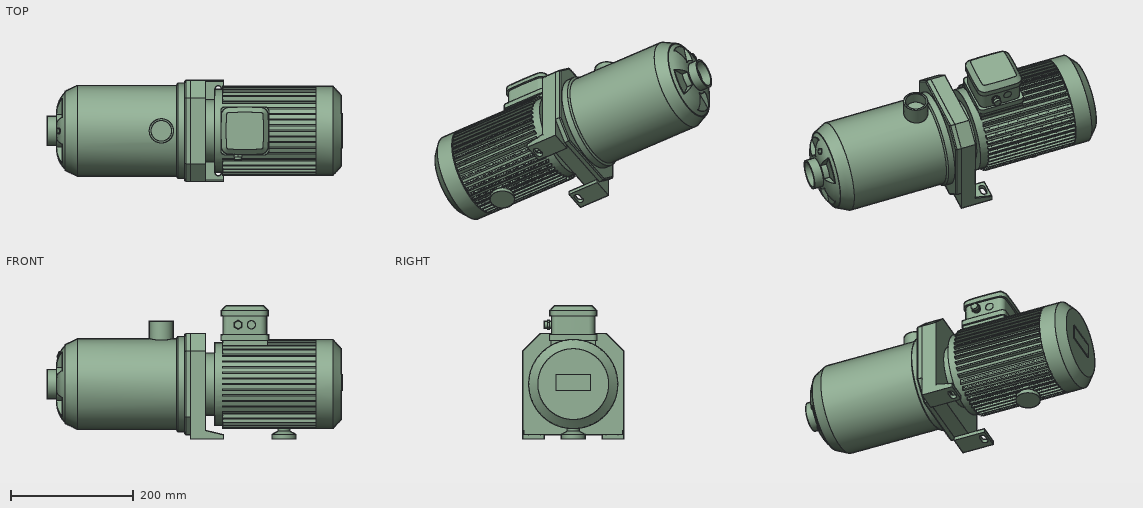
import cadquery as cq
import math


total_length = 482.7
hub_face_x = 15.2
pocket_floor_x = 25.2
sleeve_start_x = 49.6
sleeve_end_x = 211.4
collar_start_x = 213.8
cover_start_x = 224.8
bracket_start_x = 234.2
bracket_end_x = 259.0
foot_end_x = 288.4
flange_start_x = 273.9
fins_start_x = 286.9
fan_cover_start_x = 439.7
fan_cover_bevel_x = 467.4
fan_cover_end_x = 481.3

shaft_height = 90.0
total_height = 218.5
base_z = -shaft_height
top_z = base_z + total_height

sleeve_diameter = 149.0
collar_diameter = 156.5
dome_radius = 63.2
dome_rim_radius = 64.8
hub_radius = 29.0
dome_curve_radius = 48.5
pocket_outer_radius = 57.0
pocket_count = 4
pocket_angle = 45.0
suction_outer_diameter = 48.4
suction_bore_diameter = 42.4
discharge_outer_diameter = 39.7
discharge_bore_diameter = 33.7
discharge_x = 186.7
discharge_top_z = 102.8
discharge_bore_depth = 20.0

vent_diameter = 10.0
vent_radial_place = 48.5
vent_protrusion = 1.5
vent_depth = 6.0

flange_width = 166.0
flange_corner = 29.0
cover_chamfer = 2.0
foot_gap = 94.4
foot_thickness = 7.2
foot_slot_width = 10.0
foot_slot_length = 20.0
foot_slot_x = 279.8
foot_slot_outer_y = 73.5
gusset_thickness = 2.6
gusset_height = 14.4

neck_diameter = 102.2
drum_diameter = 136.0
fin_circle_diameter = 146.0
fin_pitch = 9.2
fin_thickness = 2.0
fins_per_half = 5
fan_cover_end_radius = 58.0
nameplate_width = 56.6
nameplate_height = 26.0
nameplate_z = 2.8

box_x = 323.2
pedestal_width = 73.0
pedestal_end_x = 360.2
rim_width = 78.5
rim_bottom_z = 71.0
rim_top_z = 80.7
rim_corner_radius = 6.5
box_width = 72.0
box_corner_radius = 10.0
lid_width = 77.5
lid_corner_radius = 12.0
lid_bottom_z = 111.5
lid_bevel_z = 120.3
side_bow = 1.3

knockout_diameter = 13.5
entry_z = 97.0
gland_x = 312.2
knockout_x = 334.0
knockout_depth = 0.5
gland_diameter = 12.0
gland_hex_across_flats = 13.0
gland_hex_turn = 30.0
gland_hex_start_y = -38.5
gland_hex_end_y = -42.5
gland_end_y = -47.6
gland_seat_y = -28.0

support_x = 387.3
support_disc_diameter = 40.0
support_stem_diameter = 20.0
support_disc_top_z = -82.5
support_cone_top_z = -77.0
support_seat_z = -65.0


def cylinder_x(diameter, start_x, end_x):
    """Cylinder on the shaft axis between two stations."""
    return cq.Workplane("YZ").workplane(offset=start_x).circle(diameter / 2).extrude(end_x - start_x)


def octagon(start_x, end_x):
    """Square flange with its four corners cut off."""
    profile = cq.Workplane("YZ").workplane(offset=start_x).rect(flange_width, flange_width)
    slab = profile.extrude(end_x - start_x)
    return slab.edges("|X").chamfer(flange_corner)


def block(start, end):
    """Axis-aligned block between two opposite corners."""
    size = [b - a for a, b in zip(start, end)]
    return cq.Workplane("XY").box(*size, centered=False).translate(start)


def dome_x(radius):
    """Station of the domed end at a distance from the shaft axis."""
    rise = radius - hub_radius
    return hub_face_x + dome_curve_radius - math.sqrt(dome_curve_radius**2 - rise**2)


def make_pocket(angle):
    """Sector-shaped pocket between the arms of the domed end."""
    half = math.radians(pocket_angle / 2)
    inner = (hub_radius * math.cos(half), hub_radius * math.sin(half))
    outer = (pocket_outer_radius * math.cos(half), pocket_outer_radius * math.sin(half))
    sector = (
        cq.Workplane("YZ")
        .moveTo(inner[0], -inner[1])
        .lineTo(outer[0], -outer[1])
        .threePointArc((pocket_outer_radius, 0), outer)
        .lineTo(*inner)
        .threePointArc((hub_radius, 0), (inner[0], -inner[1]))
        .close()
        .extrude(pocket_floor_x)
    )
    return sector.rotate((0, 0, 0), (1, 0, 0), angle)


def make_casing():
    mid_radius = (hub_radius + dome_radius) / 2
    body = (
        cq.Workplane("XY")
        .moveTo(hub_face_x, 0)
        .lineTo(hub_face_x, hub_radius)
        .threePointArc((dome_x(mid_radius), mid_radius), (dome_x(dome_radius), dome_radius))
        .lineTo(dome_x(dome_radius), dome_rim_radius)
        .lineTo(sleeve_start_x, sleeve_diameter / 2)
        .lineTo(sleeve_end_x, sleeve_diameter / 2)
        .lineTo(collar_start_x, collar_diameter / 2)
        .lineTo(cover_start_x, collar_diameter / 2)
        .lineTo(cover_start_x, 0)
        .close()
        .revolve(360, (0, 0, 0), (1, 0, 0))
    )
    for index in range(pocket_count):
        body = body.cut(make_pocket(pocket_angle + index * 360 / pocket_count))

    suction = cylinder_x(suction_outer_diameter, 0, hub_face_x)
    suction_bore = cylinder_x(suction_bore_diameter, 0, hub_face_x)
    discharge = (
        cq.Workplane("XY", origin=(discharge_x, 0, 0))
        .circle(discharge_outer_diameter / 2)
        .extrude(discharge_top_z)
    )
    discharge_bore = (
        cq.Workplane("XY", origin=(discharge_x, 0, discharge_top_z))
        .circle(discharge_bore_diameter / 2)
        .extrude(-discharge_bore_depth)
    )
    return body.union(suction.cut(suction_bore)).union(discharge.cut(discharge_bore))


def make_vent_plug():
    """Round plug standing square to the domed end on its upper arm."""
    lean = math.asin((vent_radial_place - hub_radius) / dome_curve_radius)
    outward = cq.Vector(-math.cos(lean), 0, math.sin(lean))
    seat = cq.Vector(dome_x(vent_radial_place), 0, vent_radial_place) - outward * vent_depth
    plane = cq.Plane(origin=seat, xDir=(0, 1, 0), normal=outward)
    return cq.Workplane(plane).circle(vent_diameter / 2).extrude(vent_depth + vent_protrusion)


def make_flange_cover():
    return octagon(cover_start_x, bracket_start_x).faces("<X").chamfer(cover_chamfer)


def make_foot(side):
    """Bracket foot on one side, with its bolt slot and outer gusset."""
    inner_y = foot_gap / 2
    outer_y = flange_width / 2
    toe_z = base_z + foot_thickness
    pad = block((bracket_start_x, inner_y, base_z), (foot_end_x, outer_y, toe_z))
    slot = (
        cq.Workplane("XY", origin=(foot_slot_x, foot_slot_outer_y - foot_slot_length / 2, base_z))
        .slot2D(foot_slot_length, foot_slot_width, 90)
        .extrude(foot_thickness)
    )
    gusset = (
        cq.Workplane("XZ", origin=(0, outer_y, 0))
        .moveTo(bracket_end_x, base_z)
        .lineTo(bracket_end_x, base_z + gusset_height)
        .lineTo(foot_end_x, toe_z)
        .lineTo(foot_end_x, base_z)
        .close()
        .extrude(gusset_thickness)
    )
    foot = pad.cut(slot).union(gusset)
    return foot if side > 0 else foot.mirror("XZ")


def make_bracket():
    plate = octagon(bracket_start_x, bracket_end_x)
    for side in (1, -1):
        inner_y, outer_y = sorted((side * foot_gap / 2, side * flange_width / 2))
        leg = block((bracket_start_x, inner_y, base_z), (bracket_end_x, outer_y, 0))
        plate = plate.union(leg).union(make_foot(side))
    return plate


def make_fins():
    """Parallel fins standing on the drum: horizontal on its two sides, vertical above and below."""
    length = fan_cover_start_x - fins_start_x
    root_z = drum_diameter / 2 * math.sin(math.pi / 4)
    fin_height = fin_circle_diameter / 2 - root_z
    envelope = cylinder_x(fin_circle_diameter, fins_start_x, fan_cover_start_x)
    fins = cq.Workplane("XY")
    for index in range(-fins_per_half, fins_per_half + 1):
        blade = (
            cq.Workplane("XY")
            .box(length, fin_thickness, fin_height, centered=(False, True, False))
            .translate((fins_start_x, index * fin_pitch, root_z))
        )
        for quarter in range(4):
            fins = fins.add(blade.rotate((0, 0, 0), (1, 0, 0), quarter * 90))
    return fins.combine().intersect(envelope)


def make_pedestal():
    """Terminal box seat on top of the drum."""
    half = pedestal_width / 2
    neck = block((fins_start_x, -half, 0), (pedestal_end_x, half, rim_bottom_z))
    rim = (
        cq.Workplane("XY", origin=(box_x, 0, rim_bottom_z))
        .rect(rim_width, rim_width)
        .extrude(rim_top_z - rim_bottom_z)
        .edges("|Z")
        .fillet(rim_corner_radius)
    )
    return neck.union(rim)


def make_motor():
    neck = cylinder_x(neck_diameter, bracket_end_x, flange_start_x)
    drum = cylinder_x(drum_diameter, flange_start_x, fan_cover_start_x)
    return neck.union(drum).union(make_fins()).union(make_pedestal())


def make_fan_cover():
    radius = fin_circle_diameter / 2
    shell = (
        cq.Workplane("XY")
        .moveTo(fan_cover_start_x, 0)
        .lineTo(fan_cover_start_x, radius)
        .lineTo(fan_cover_bevel_x, radius)
        .lineTo(fan_cover_end_x, fan_cover_end_radius)
        .lineTo(fan_cover_end_x, 0)
        .close()
        .revolve(360, (0, 0, 0), (1, 0, 0))
    )
    plate = (
        cq.Workplane("YZ", origin=(fan_cover_end_x, 0, nameplate_z))
        .rect(nameplate_width, nameplate_height)
        .extrude(total_length - fan_cover_end_x)
    )
    return shell.union(plate)


def bowed_prism(width, corner_radius, bottom_z, height):
    """Square prism with slightly bowed sides and round corners."""
    half = width / 2
    corner = half - side_bow
    prism = (
        cq.Workplane("XY", origin=(box_x, 0, bottom_z))
        .moveTo(-corner, -corner)
        .threePointArc((0, -half), (corner, -corner))
        .threePointArc((half, 0), (corner, corner))
        .threePointArc((0, half), (-corner, corner))
        .threePointArc((-half, 0), (-corner, -corner))
        .close()
        .extrude(height)
    )
    return prism.edges("|Z").fillet(corner_radius)


def make_terminal_box():
    box = bowed_prism(box_width, box_corner_radius, rim_top_z, lid_bottom_z - rim_top_z)
    knockout = (
        cq.Workplane("XZ", origin=(knockout_x, -box_width / 2 + knockout_depth, entry_z))
        .circle(knockout_diameter / 2)
        .extrude(knockout_depth)
    )
    return box.cut(knockout)


def make_lid():
    lid = bowed_prism(lid_width, lid_corner_radius, lid_bottom_z, top_z - lid_bottom_z)
    return lid.faces(">Z").chamfer(top_z - lid_bevel_z)


def make_gland():
    """Round cable gland with a hexagon nut, one corner up."""

    def section(start_y):
        return cq.Workplane("XZ", origin=(gland_x, start_y, entry_z))

    across_corners = gland_hex_across_flats / math.cos(math.pi / 6)
    shank = section(gland_seat_y).circle(gland_diameter / 2).extrude(gland_seat_y - gland_end_y)
    nut = (
        section(gland_hex_start_y)
        .transformed(rotate=(0, 0, gland_hex_turn))
        .polygon(6, across_corners)
        .extrude(gland_hex_start_y - gland_hex_end_y)
    )
    return shank.union(nut)


def make_support_foot():
    disc_radius = support_disc_diameter / 2
    stem_radius = support_stem_diameter / 2
    return (
        cq.Workplane("XZ", origin=(support_x, 0, 0))
        .moveTo(0, base_z)
        .lineTo(disc_radius, base_z)
        .lineTo(disc_radius, support_disc_top_z)
        .lineTo(stem_radius, support_cone_top_z)
        .lineTo(stem_radius, support_seat_z)
        .lineTo(0, support_seat_z)
        .close()
        .revolve(360, (0, 0, 0), (0, 1, 0))
    )


vent_plug = make_vent_plug()
casing = make_casing().cut(vent_plug)
flange_cover = make_flange_cover()
bracket = make_bracket()
support_foot = make_support_foot()
motor = make_motor().cut(support_foot)
fan_cover = make_fan_cover()
gland = make_gland()
terminal_box = make_terminal_box().cut(gland)
lid = make_lid()

bodies = [casing, vent_plug, flange_cover, bracket, motor, fan_cover, terminal_box, lid, gland, support_foot]
result = cq.Compound.makeCompound([body.val() for body in bodies])